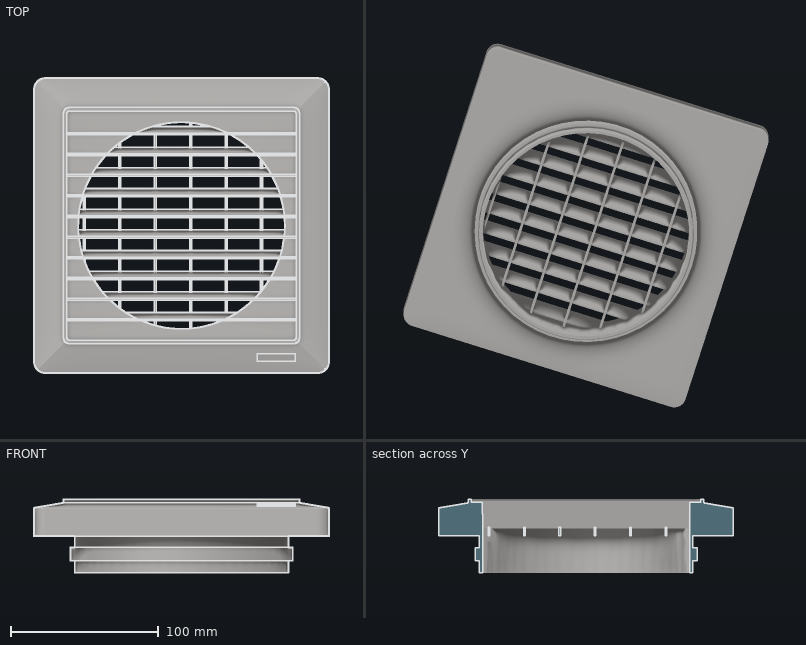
import cadquery as cq
import math

plate_size = 200.0
plate_corner_radius = 8.0
plate_edge_height = 19.2
plate_edge_fillet = 1.0
rim_band = 1.0

panel_size = 160.0
panel_corner_radius = 4.0
panel_base_height = 22.5
panel_top_height = 25.0
lip_width = 2.5
lip_corner_radius = panel_corner_radius - lip_width
recess_size = panel_size - 2 * lip_width
recess_floor_height = 23.0

bore_diameter = 140.0
spigot_diameter = 145.0
spigot_length = 25.0
spigot_fillet = 0.5
collar_diameter = 150.8
collar_bottom = -16.8
collar_height = 9.2

slat_count = 10
slat_pitch = 14.0
slat_offset_y = -0.5
slat_thickness = 1.2
slat_top_height = 24.0
slat_bottom_height = 5.0
slat_lean = 4.5

rib_count = 6
rib_pitch = 24.0
rib_first_x = -65.8
rib_thickness = 1.5
rib_height = 6.0

label_length = 26.0
label_width = 5.0
label_center_x = 64.2
label_center_y = -89.5
label_depth = 0.5


def square_prism(size, corner_radius, bottom, top):
    """Square block with rounded upright edges."""
    block = cq.Workplane("XY").workplane(offset=bottom).rect(size, size).extrude(top - bottom)
    return block.edges("|Z").fillet(corner_radius)


def cylinder(diameter, bottom, top):
    return cq.Workplane("XY").workplane(offset=bottom).circle(diameter / 2).extrude(top - bottom)


def make_plate():
    """Cover plate whose mitred border rises towards the central panel."""
    border = (
        cq.Workplane("XY")
        .workplane(offset=plate_edge_height)
        .rect(plate_size, plate_size)
        .workplane(offset=panel_base_height - plate_edge_height)
        .rect(panel_size, panel_size)
        .loft(ruled=True)
    )
    base = cq.Workplane("XY").rect(plate_size, plate_size).extrude(plate_edge_height)
    outline = square_prism(plate_size, plate_corner_radius, 0, panel_top_height)
    plate = base.union(border).intersect(outline)
    rim = plate.edges(cq.selectors.BoxSelector(
        (-plate_size, -plate_size, plate_edge_height - rim_band),
        (plate_size, plate_size, plate_edge_height + rim_band),
    ))
    return rim.fillet(plate_edge_fillet)


def make_spigot():
    """Round duct connector with a raised collar."""
    tube = cylinder(spigot_diameter, -spigot_length, 0).faces("<Z").edges().fillet(spigot_fillet)
    collar = cylinder(collar_diameter, collar_bottom, collar_bottom + collar_height)
    return tube.union(collar)


def make_slats():
    """Leaning louvre slats that span the recess."""
    slats = cq.Workplane("XY")
    first_y = slat_offset_y - slat_pitch * (slat_count - 1) / 2
    for index in range(slat_count):
        rear_y = first_y + index * slat_pitch
        front_y = rear_y - slat_thickness
        slat = (
            cq.Workplane("YZ")
            .polyline([
                (front_y, slat_top_height),
                (rear_y, slat_top_height),
                (rear_y + slat_lean, slat_bottom_height),
                (front_y + slat_lean, slat_bottom_height),
            ])
            .close()
            .extrude(recess_size / 2, both=True)
        )
        slats = slats.add(slat)
    return slats.combine()


def make_ribs():
    """Upright ribs that cross the bore and tie the slats together at the rear."""
    centers = [(rib_first_x + index * rib_pitch, 0) for index in range(rib_count)]
    ribs = cq.Workplane("XY").pushPoints(centers).rect(rib_thickness, plate_size).extrude(rib_height)
    return ribs.intersect(cylinder(spigot_diameter, 0, rib_height))


def make_label_recess():
    """Shallow rectangle sunk into the sloping front border, parallel to its face."""
    rise = panel_base_height - plate_edge_height
    run = (plate_size - panel_size) / 2
    center_z = plate_edge_height + rise / run * (plate_size / 2 + label_center_y)
    slope_angle = math.degrees(math.atan2(rise, run))
    cutter = cq.Workplane("XY").box(label_length, label_width, 2 * label_depth)
    cutter = cutter.rotate((0, 0, 0), (1, 0, 0), slope_angle)
    return cutter.translate((label_center_x, label_center_y, center_z))


panel = square_prism(panel_size, panel_corner_radius, plate_edge_height, panel_top_height)
recess = square_prism(recess_size, lip_corner_radius, recess_floor_height, panel_top_height)
bore = cylinder(bore_diameter, -spigot_length, panel_top_height)

result = make_plate().union(panel).union(make_spigot())
result = result.cut(recess).cut(bore).cut(make_label_recess())
result = result.union(make_slats()).union(make_ribs())